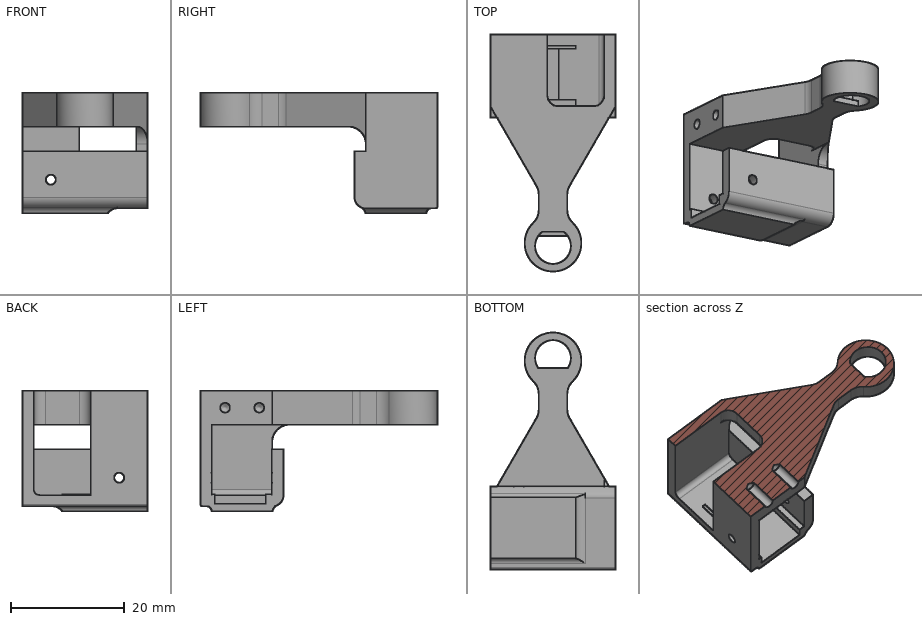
import cadquery as cq
import math

width = 22.0
length = 41.65
height = 21.2
mid_x = width / 2

plate_thickness = 6.0
plate_bottom = height - plate_thickness
shoulder_depth = 12.6
taper_angle = 30.0
neck_half_width = 2.55
neck_fillet = 2.8
ring_radius = 5.0
ring_blend_radius = 3.0
ring_y = -length + ring_radius

bore_radius = 3.12
bore_y = ring_y - 0.5
flat_offset = 2.5
lip_offset = 1.75
lip_height = 1.0

slot_start_x = 10.0
slot_end_x = 20.0
slot_corner_radius = 2.0

channel_depth = 14.6
body_bottom = 0.87
floor_height = 2.87
back_wall = 1.95
front_wall = 2.1
front_wall_top = 10.9
front_edge_radius = 2.0
back_edge_radius = 0.37
floor_fillet = 1.0
brace_fillet = 3.0

ledge_length = 15.0
ledge_top = 3.0
pocket_length = 12.0
pocket_floor = 1.37
pocket_back = 2.55
pocket_front = 11.45

pad_length = 15.0
pad_back = 1.95
pad_front = 12.65
pad_end_run = 1.62
pad_end_radius = 2.0
pad_front_run = 0.75
pad_front_radius = 1.4

hole_diameter = 1.7
wall_hole_x = 5.0
wall_hole_z = 5.9
side_hole_back = 4.35
side_hole_spacing = 6.0
side_hole_depth = 5.0
drill_tip_angle = 118.0


def box(x0, x1, y0, y1, z0, z1):
    """Box between two opposite corners."""
    return cq.Workplane("XY").box(x1 - x0, y1 - y0, z1 - z0, centered=False).translate((x0, y0, z0))


def arm_plate():
    """Plate tapering to a neck and ending in a ring."""
    neck_y = -shoulder_depth - (mid_x - neck_half_width) / math.tan(math.radians(taper_angle))
    taper = (
        cq.Workplane("XY").workplane(offset=plate_bottom)
        .polyline([
            (0, 0), (width, 0), (width, -shoulder_depth),
            (mid_x + neck_half_width, neck_y), (mid_x + neck_half_width, ring_y),
            (mid_x - neck_half_width, ring_y), (mid_x - neck_half_width, neck_y),
            (0, -shoulder_depth),
        ])
        .close().extrude(plate_thickness)
    )
    corners = cq.selectors.BoxSelector((0, neck_y - 0.4, 0), (width, neck_y + 0.4, height))
    taper = taper.edges("|Z").edges(corners).fillet(neck_fillet)
    ring = (
        cq.Workplane("XY").workplane(offset=plate_bottom)
        .center(mid_x, ring_y).circle(ring_radius).extrude(plate_thickness)
    )
    plate = taper.union(ring)
    joint_y = ring_y + math.sqrt(ring_radius**2 - neck_half_width**2)
    joints = cq.selectors.BoxSelector((0, joint_y - 0.4, 0), (width, joint_y + 0.4, height))
    return plate.edges("|Z").edges(joints).fillet(ring_blend_radius)


def flat_bore(offset, z0, z1):
    """Round bore between two heights, cut off by a flat on its back side."""
    bore = (
        cq.Workplane("XY").workplane(offset=z0)
        .center(mid_x, bore_y).circle(bore_radius).extrude(z1 - z0)
    )
    flat = box(0, width, bore_y - ring_radius, bore_y + offset, z0, z1)
    return bore.intersect(flat)


def channel():
    """Floor with rounded outer edges, back wall, front wall and end wall."""
    body = box(0, width, -channel_depth, 0, body_bottom, plate_bottom)
    body = body.edges("|X and <Y and <Z").fillet(front_edge_radius)
    body = body.edges("|X and >Y and <Z").fillet(back_edge_radius)
    front_inner_y = -channel_depth + front_wall
    body = body.cut(box(0, slot_end_x, front_inner_y, -back_wall, floor_height, plate_bottom))
    body = body.cut(box(0, slot_end_x, -channel_depth, -back_wall, front_wall_top, plate_bottom))
    body = body.cut(box(0, width, -channel_depth, -shoulder_depth, front_wall_top, plate_bottom))
    return body


def end_brace():
    """Concave blend between the end wall and the underside of the plate."""
    z0 = plate_bottom - brace_fillet
    y0 = -shoulder_depth - brace_fillet
    brace = box(slot_end_x, width, y0, -shoulder_depth, z0, plate_bottom)
    scoop = (
        cq.Workplane("YZ").center(y0, z0).circle(brace_fillet).extrude(width)
    )
    plan = arm_plate().translate((0, 0, -plate_thickness))
    return brace.cut(scoop).intersect(plan)


def slot():
    """Slot with round inner corners in the plate, square below in the back wall."""
    upper = box(slot_start_x, slot_end_x, -shoulder_depth, 0, plate_bottom, height)
    upper = upper.edges("|Z and <Y").fillet(slot_corner_radius)
    lower = box(slot_start_x, slot_end_x, -back_wall, 0, floor_height, plate_bottom)
    return upper.union(lower)


def end_wall_fillet():
    """Concave blend between the floor and the end wall."""
    x0 = slot_end_x - floor_fillet
    z1 = floor_height + floor_fillet
    strip = box(x0, slot_end_x, -channel_depth + front_wall, 0, floor_height, z1)
    scoop = (
        cq.Workplane("XZ").center(x0, z1).circle(floor_fillet).extrude(channel_depth)
    )
    return strip.cut(scoop)


def ledges():
    """Low step on the floor, later split into two ledges by the pocket."""
    back = box(0, ledge_length, -pocket_back, -back_wall, body_bottom, ledge_top)
    front = box(0, ledge_length, -channel_depth + front_wall, -pocket_front, body_bottom, ledge_top)
    return back.union(front)


def pad():
    """Pad whose back, front and end edges flare up into the channel body."""
    front_y = -pad_front - pad_front_run
    rise = channel_depth - front_edge_radius + front_y
    front_z = body_bottom + front_edge_radius - math.sqrt(front_edge_radius**2 - rise**2)
    section = (
        cq.Workplane("YZ")
        .moveTo(-pad_front, 0).lineTo(-pad_back, 0)
        .radiusArc((-pad_back + body_bottom, body_bottom), body_bottom)
        .lineTo(-pad_back, front_z).lineTo(front_y, front_z)
        .radiusArc((-pad_front, 0), pad_front_radius)
        .close().extrude(width)
    )
    end_x = pad_length + pad_end_run
    side = (
        cq.Workplane("XZ")
        .moveTo(0, 0).lineTo(pad_length, 0)
        .radiusArc((end_x, body_bottom), pad_end_radius)
        .lineTo(end_x, front_z).lineTo(0, front_z)
        .close().extrude(channel_depth)
    )
    return section.intersect(side)


def wall_holes():
    """One straight hole through both long walls of the channel."""
    return (
        cq.Workplane("XZ").center(wall_hole_x, wall_hole_z)
        .circle(hole_diameter / 2).extrude(channel_depth)
    )


def side_hole(y):
    """Blind hole with a drill tip, entering the plate from its -X side."""
    radius = hole_diameter / 2
    tip = radius / math.tan(math.radians(drill_tip_angle / 2))
    z = height - plate_thickness / 2
    return (
        cq.Workplane("XY")
        .polyline([(0, 0), (0, radius), (side_hole_depth, radius), (side_hole_depth + tip, 0)])
        .close().revolve(360, (0, 0), (1, 0)).translate((0, y, z))
    )


result = arm_plate().union(channel()).union(end_brace()).union(pad())
result = result.cut(slot()).union(end_wall_fillet()).union(ledges())
result = result.cut(box(0, pocket_length, -pocket_front, -pocket_back, pocket_floor, ledge_top))
result = result.cut(flat_bore(lip_offset, plate_bottom, plate_bottom + lip_height))
result = result.cut(flat_bore(flat_offset, plate_bottom + lip_height, height))
result = result.cut(wall_holes())
for row in range(2):
    result = result.cut(side_hole(-side_hole_back - row * side_hole_spacing))